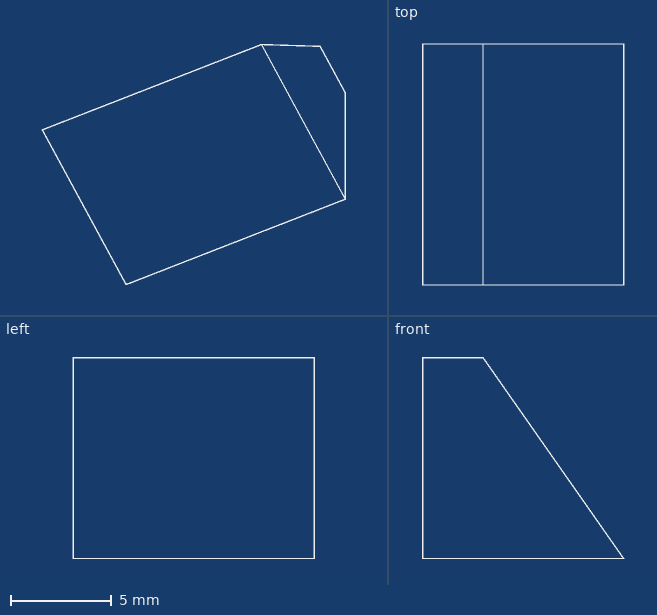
import cadquery as cq

length = 12.0
base_width = 10.0
height = 10.0
top_width = 3.0

profile = [
    (0, 0),
    (base_width, 0),
    (top_width, height),
    (0, height),
]

result = cq.Workplane("XZ").polyline(profile).close().extrude(length / 2, both=True)